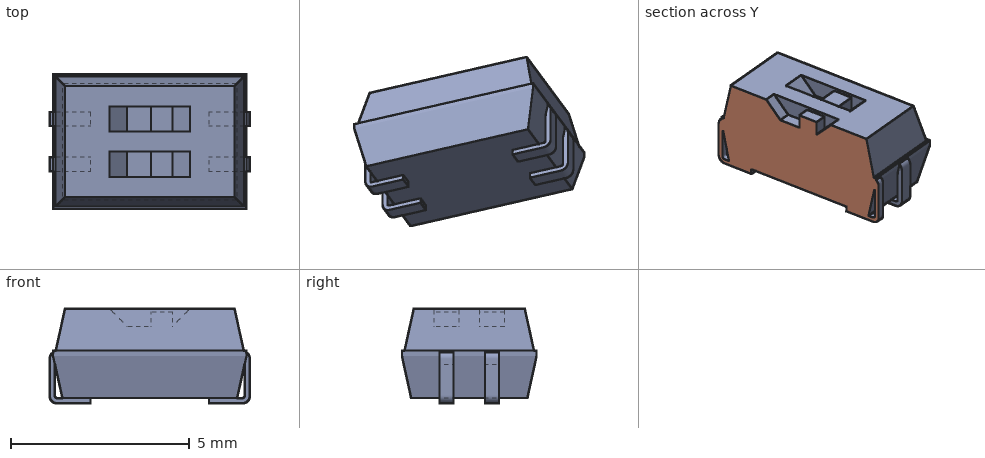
import cadquery as cq

overall_length = 5.6
overall_height = 2.65

lead_thickness = 0.15
lead_width = 0.4
lead_outer_radius = 0.21
lead_inner_radius = lead_outer_radius - lead_thickness
lead_height = 1.455
foot_length = 1.15
lead_arm_length = 0.45

flange_length = 5.405
flange_width = 3.77
flange_thickness = 0.15
flange_ledge = 0.07
taper_inset = 0.26
body_bottom = lead_thickness
half_height = (overall_height - body_bottom - flange_thickness) / 2
flange_bottom = body_bottom + half_height
flange_top = flange_bottom + flange_thickness

switch_pitch = 1.265
switch_rows = (-switch_pitch / 2, switch_pitch / 2)
window_length = 2.25
window_width = 0.705
window_depth = 0.49
floor_length = window_length - 2 * window_depth
slider_length = 0.605
slider_recess = 0.09
slider_height = window_depth - slider_recess


def tapered_block(start_length, start_width, start_z, end_z):
    """Rectangular frustum that narrows by the taper inset on every side."""
    return (
        cq.Workplane("XY")
        .workplane(offset=start_z)
        .rect(start_length, start_width)
        .workplane(offset=end_z - start_z)
        .rect(start_length - 2 * taper_inset, start_width - 2 * taper_inset)
        .loft(ruled=True)
    )


def make_housing():
    lower = tapered_block(flange_length, flange_width, flange_bottom, body_bottom)
    flange = (
        cq.Workplane("XY")
        .workplane(offset=flange_bottom)
        .rect(flange_length, flange_width)
        .extrude(flange_thickness)
    )
    upper = tapered_block(
        flange_length - 2 * flange_ledge,
        flange_width - 2 * flange_ledge,
        flange_top,
        overall_height,
    )
    return lower.union(flange).union(upper)


def make_window(row_y):
    """Trapezoidal pocket volume for one switch."""
    floor_z = overall_height - window_depth
    outline = [
        (-window_length / 2, overall_height),
        (-floor_length / 2, floor_z),
        (floor_length / 2, floor_z),
        (window_length / 2, overall_height),
    ]
    return (
        cq.Workplane("XZ")
        .polyline(outline)
        .close()
        .extrude(window_width / 2, both=True)
        .translate((0, row_y, 0))
    )


def make_slider(row_y):
    """Slider block at the +X end of the window floor."""
    slider_x = (floor_length - slider_length) / 2
    return (
        cq.Workplane("XY")
        .workplane(offset=overall_height - window_depth)
        .center(slider_x, row_y)
        .rect(slider_length, window_width)
        .extrude(slider_height)
    )


def make_left_lead(row_y):
    """C-shaped lead at the -X end, its upper arm buried in the housing."""
    outer_x = -overall_length / 2
    inner_x = outer_x + lead_thickness
    bend_x = outer_x + lead_outer_radius
    arm_end_x = outer_x + lead_arm_length
    foot_end_x = outer_x + foot_length
    lower_bend_z = lead_outer_radius
    upper_bend_z = lead_height - lead_outer_radius
    return (
        cq.Workplane("XZ")
        .moveTo(foot_end_x, 0)
        .lineTo(bend_x, 0)
        .radiusArc((outer_x, lower_bend_z), lead_outer_radius)
        .lineTo(outer_x, upper_bend_z)
        .radiusArc((bend_x, lead_height), lead_outer_radius)
        .lineTo(arm_end_x, lead_height)
        .lineTo(arm_end_x, lead_height - lead_thickness)
        .lineTo(bend_x, lead_height - lead_thickness)
        .radiusArc((inner_x, upper_bend_z), -lead_inner_radius)
        .lineTo(inner_x, lower_bend_z)
        .radiusArc((bend_x, lead_thickness), -lead_inner_radius)
        .lineTo(foot_end_x, lead_thickness)
        .close()
        .extrude(lead_width / 2, both=True)
        .translate((0, row_y, 0))
    )


result = make_housing()
for row_y in switch_rows:
    left_lead = make_left_lead(row_y)
    right_lead = left_lead.mirror("YZ")
    result = result.cut(make_window(row_y)).union(make_slider(row_y))
    result = result.union(left_lead).union(right_lead)